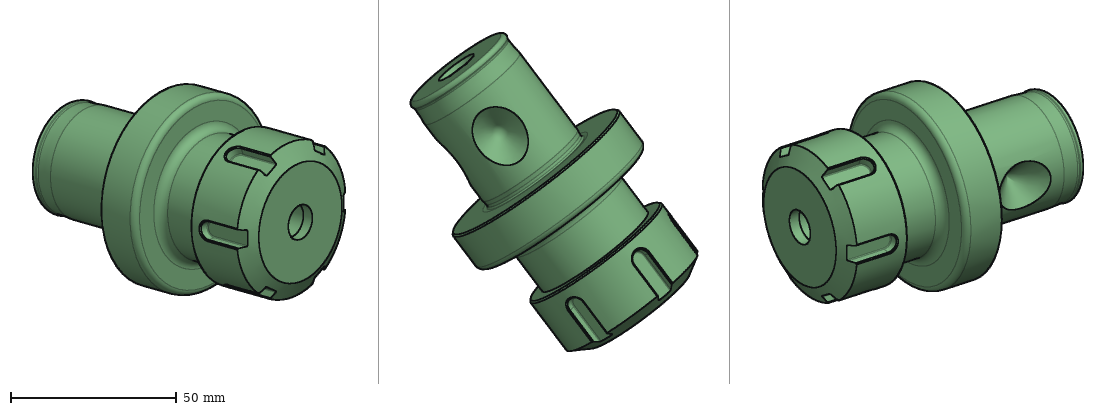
import cadquery as cq
import math

TOTAL_LENGTH = 93.0

BORE_RADIUS = 5.5
BORE_MOUTH_RADIUS = 6.6
BORE_MOUTH_DEPTH = 1.7

SHANK_RADIUS = 36.0 / 2
END_FACE_RADIUS = 16.65
LIP_END_X = 1.8
GROOVE_START_X = 2.0
GROOVE_START_RADIUS = 17.8
TAPER_START_X = 2.6
TAPER_START_RADIUS = 35.25 / 2
TAPER_END_X = 7.9

RELIEF_START_X = 37.3
RELIEF_FLOOR_X = 38.7
RELIEF_FLOOR_RADIUS = 17.8
RELIEF_FILLET = 0.6
RELIEF_FACE_DEPTH = 0.2
RELIEF_FACE_RADIUS = 39.5 / 2

FLANGE_RADIUS = 63.0 / 2
FLANGE_START_X = 40.0
FLANGE_END_X = 54.0
FLANGE_BACK_CHAMFER = 0.6
FLANGE_FRONT_FILLET = 2.0

NECK_RADIUS = 40.0 / 2
NECK_FILLET = 3.0

SEAT_X = 22.3
SEAT_RADIUS = 9.6
SEAT_HALF_ANGLE = 45.0
SEAT_OVERSHOOT = 1.9
SEAT_DIRECTIONS = [(0, 1, 0), (0, 0, -1)]

NUT_RADIUS = 49.8 / 2
NUT_START_X = 70.5
NUT_BACK_CHAMFER = 0.6
NUT_BEVEL_START_X = 89.4
NUT_FRONT_RADIUS = 19.0

NECK_END_X = NUT_BEVEL_START_X

SLOT_COUNT = 6
SLOT_FLOOR_HEIGHT = 21.95
SLOT_FLOOR_HALF_WIDTH = 2.6
SLOT_FLOOR_FILLET = 0.3
SLOT_DRAFT_ANGLE = 8.0
SLOT_END_CENTRE_X = 77.6
SLOT_EDGE_CHAMFER = 0.4
SLOT_OVERSHOOT = 1.9


def arc_point(centre_x, centre_radius, arc_radius, angle):
    """Point on an arc of the turned profile, at an angle in degrees from +X."""
    turn = math.radians(angle)
    return (centre_x + arc_radius * math.cos(turn), centre_radius + arc_radius * math.sin(turn))


def turned(profile):
    """Revolve a closed profile, drawn as (X, radius), about the X axis."""
    return profile.close().revolve(360, (0, 0, 0), (1, 0, 0))


def make_holder_blank():
    lip_round = SHANK_RADIUS - END_FACE_RADIUS
    lip_end_radius = END_FACE_RADIUS + math.sqrt(lip_round**2 - (LIP_END_X - lip_round) ** 2)
    relief_fillet_x = FLANGE_START_X + RELIEF_FACE_DEPTH - RELIEF_FILLET
    relief_fillet_radius = RELIEF_FLOOR_RADIUS + RELIEF_FILLET
    flange_fillet_x = FLANGE_END_X - FLANGE_FRONT_FILLET
    flange_fillet_radius = FLANGE_RADIUS - FLANGE_FRONT_FILLET
    neck_fillet_x = FLANGE_END_X + NECK_FILLET
    neck_fillet_radius = NECK_RADIUS + NECK_FILLET
    profile = (
        cq.Workplane("XY")
        .moveTo(BORE_MOUTH_DEPTH, BORE_RADIUS)
        .lineTo(0, BORE_MOUTH_RADIUS)
        .lineTo(0, END_FACE_RADIUS)
        .threePointArc((lip_round, SHANK_RADIUS), (LIP_END_X, lip_end_radius))
        .lineTo(GROOVE_START_X, GROOVE_START_RADIUS)
        .lineTo(TAPER_START_X, TAPER_START_RADIUS)
        .lineTo(TAPER_END_X, SHANK_RADIUS)
        .lineTo(RELIEF_START_X, SHANK_RADIUS)
        .lineTo(RELIEF_FLOOR_X, RELIEF_FLOOR_RADIUS)
        .lineTo(relief_fillet_x, RELIEF_FLOOR_RADIUS)
        .threePointArc(
            arc_point(relief_fillet_x, relief_fillet_radius, RELIEF_FILLET, -45),
            (relief_fillet_x + RELIEF_FILLET, relief_fillet_radius),
        )
        .lineTo(FLANGE_START_X, RELIEF_FACE_RADIUS)
        .lineTo(FLANGE_START_X, FLANGE_RADIUS - FLANGE_BACK_CHAMFER)
        .lineTo(FLANGE_START_X + FLANGE_BACK_CHAMFER, FLANGE_RADIUS)
        .lineTo(flange_fillet_x, FLANGE_RADIUS)
        .threePointArc(
            arc_point(flange_fillet_x, flange_fillet_radius, FLANGE_FRONT_FILLET, 45),
            (FLANGE_END_X, flange_fillet_radius),
        )
        .lineTo(FLANGE_END_X, neck_fillet_radius)
        .threePointArc(
            arc_point(neck_fillet_x, neck_fillet_radius, NECK_FILLET, 225),
            (neck_fillet_x, NECK_RADIUS),
        )
        .lineTo(NECK_END_X, NECK_RADIUS)
        .lineTo(NECK_END_X, BORE_RADIUS)
    )
    return turned(profile)


def make_seat_cutter(direction):
    """Cone that narrows toward the shank axis and has the seat radius at the shank surface."""
    slope = math.tan(math.radians(SEAT_HALF_ANGLE))
    outer_distance = SHANK_RADIUS + SEAT_OVERSHOOT
    outer_radius = SEAT_RADIUS + SEAT_OVERSHOOT * slope
    outward = cq.Vector(*direction)
    base = cq.Vector(SEAT_X, 0, 0) + outward * outer_distance
    cone = cq.Solid.makeCone(outer_radius, 0, outer_radius / slope, base, outward * -1)
    return cq.Workplane("XY").add(cone)


def make_holder():
    holder = make_holder_blank()
    for direction in SEAT_DIRECTIONS:
        holder = holder.cut(make_seat_cutter(direction))
    return holder


def make_nut_blank():
    """Cap with a recess for the neck and a bore in line with the holder's."""
    profile = (
        cq.Workplane("XY")
        .moveTo(NUT_START_X, NECK_RADIUS)
        .lineTo(NUT_START_X, NUT_RADIUS - NUT_BACK_CHAMFER)
        .lineTo(NUT_START_X + NUT_BACK_CHAMFER, NUT_RADIUS)
        .lineTo(NUT_BEVEL_START_X, NUT_RADIUS)
        .lineTo(TOTAL_LENGTH, NUT_FRONT_RADIUS)
        .lineTo(TOTAL_LENGTH, BORE_RADIUS)
        .lineTo(NECK_END_X, BORE_RADIUS)
        .lineTo(NECK_END_X, NECK_RADIUS)
    )
    return turned(profile)


def make_slot_cutter():
    """Round-ended slot on the -Y side, with walls that spread outward from its floor."""
    open_end_x = TOTAL_LENGTH + SLOT_OVERSHOOT
    height = NUT_RADIUS + SLOT_OVERSHOOT - SLOT_FLOOR_HEIGHT
    return (
        cq.Workplane("XZ", origin=(0, -SLOT_FLOOR_HEIGHT, 0))
        .moveTo(open_end_x, SLOT_FLOOR_HALF_WIDTH)
        .lineTo(SLOT_END_CENTRE_X, SLOT_FLOOR_HALF_WIDTH)
        .threePointArc(
            (SLOT_END_CENTRE_X - SLOT_FLOOR_HALF_WIDTH, 0),
            (SLOT_END_CENTRE_X, -SLOT_FLOOR_HALF_WIDTH),
        )
        .lineTo(open_end_x, -SLOT_FLOOR_HALF_WIDTH)
        .close()
        .extrude(height, taper=-SLOT_DRAFT_ANGLE)
        .faces(">Y")
        .edges()
        .fillet(SLOT_FLOOR_FILLET)
    )


def slot_rim_edges(nut):
    """Straight sides and rounded ends of the slots, on the nut's cylindrical outside."""
    outside = nut.faces("%CYLINDER").sort(lambda face: -face.BoundingBox().ylen).val()
    slots_start_x = SLOT_END_CENTRE_X - 2 * SLOT_FLOOR_HALF_WIDTH
    outside_edges = nut.newObject(outside.Edges()).edges("not %CIRCLE").vals()
    return [edge for edge in outside_edges if edge.BoundingBox().xmin > slots_start_x]


def make_nut():
    nut = make_nut_blank()
    slot_cutter = make_slot_cutter()
    for index in range(SLOT_COUNT):
        angle = index * 360 / SLOT_COUNT
        nut = nut.cut(slot_cutter.rotate((0, 0, 0), (1, 0, 0), angle))
    return nut.newObject(slot_rim_edges(nut)).chamfer(SLOT_EDGE_CHAMFER)


holder = make_holder()
nut = make_nut()

result = cq.Compound.makeCompound([holder.val(), nut.val()])